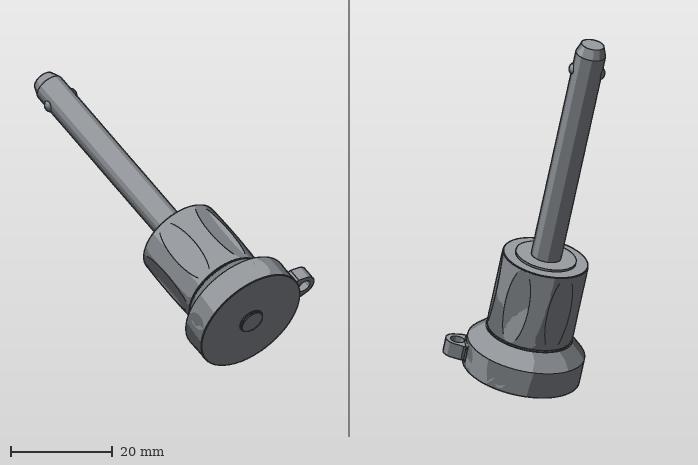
import cadquery as cq
import math


total_length = 73.2
tip_length = 2.05
ball_x = 5.85
collar_start = 47.0
sleeve_start = 47.4
sleeve_end = 63.75
cone_start = 64.05
rim_start = 67.1
rim_end = 72.6
button_step = 72.9

tip_radius = 2.3
pin_radius = 3.0
collar_radius = 6.1
sleeve_end_radius = 8.6
sleeve_mid_radius = 8.8
sleeve_edge = 0.15
neck_radius = sleeve_end_radius - sleeve_edge
rim_radius = 11.8
rim_edge = 0.15
cone_small_radius = rim_radius - (rim_start - cone_start)
button_radius = 2.6
button_face_radius = 2.4

ball_radius = 1.4
ball_offset = 2.2

flute_count = 6
flute_floor_radius = 8.1
flute_cutter_radius = 13.9
flute_cutter_end_radius = 13.5

dimple_count = 8
dimple_length = 4.3
dimple_depth = 0.15
cap_height = 1.5

tab_thickness = 3.0
tab_reach = 15.9
tab_tip_radius = 2.35
tab_hole_radius = 1.4
tab_flank_angle = math.radians(14.5)
tab_root_fillet = 0.3
tab_overlap = 1.5

sleeve_mid = (sleeve_start + sleeve_end) / 2
rim_mid = (rim_start + rim_end) / 2


def make_turned_body():
    """Pin, collar, barrel-shaped sleeve, flared rim and push button."""
    profile = (
        cq.Workplane("XZ")
        .lineTo(0, tip_radius)
        .lineTo(tip_length, pin_radius)
        .lineTo(collar_start, pin_radius)
        .lineTo(collar_start, collar_radius)
        .lineTo(sleeve_start, collar_radius)
        .lineTo(sleeve_start, sleeve_end_radius - sleeve_edge)
        .lineTo(sleeve_start + sleeve_edge, sleeve_end_radius)
        .threePointArc(
            (sleeve_mid, sleeve_mid_radius),
            (sleeve_end - sleeve_edge, sleeve_end_radius),
        )
        .lineTo(sleeve_end, neck_radius)
        .lineTo(cone_start, neck_radius)
        .lineTo(cone_start, cone_small_radius)
        .lineTo(rim_start, rim_radius)
        .lineTo(rim_end - rim_edge, rim_radius)
        .lineTo(rim_end, rim_radius - rim_edge)
        .lineTo(rim_end, button_radius)
        .lineTo(button_step, button_radius)
        .lineTo(button_step, button_face_radius)
        .lineTo(total_length, button_face_radius)
        .lineTo(total_length, 0)
        .close()
    )
    return profile.revolve(360, (0, 0, 0), (1, 0, 0))


def make_flute_cutter():
    """Spindle beside the sleeve on +Y; its bulge scoops one pointed flute."""
    axis_y = flute_floor_radius + flute_cutter_radius
    end_y = axis_y - flute_cutter_end_radius
    return (
        cq.Workplane("XY")
        .moveTo(sleeve_start, axis_y)
        .lineTo(sleeve_start, end_y)
        .threePointArc((sleeve_mid, flute_floor_radius), (sleeve_end, end_y))
        .lineTo(sleeve_end, axis_y)
        .close()
        .revolve(360, (sleeve_start, axis_y, 0), (sleeve_end, axis_y, 0))
    )


def make_dimple_cutter():
    """Large sphere that dips slightly into the rim on +Y."""
    radius = ((dimple_length / 2) ** 2 + dimple_depth**2) / (2 * dimple_depth)
    center_y = rim_radius - dimple_depth + radius
    cap = cq.Workplane("XY").box(dimple_length, cap_height, dimple_length)
    cap = cap.translate((rim_mid, rim_radius, 0))
    return cq.Workplane("XY").sphere(radius).translate((rim_mid, center_y, 0)).intersect(cap)


def cut_around(body, cutter, count, first_angle):
    """Cut evenly spaced copies of the cutter around the X axis."""
    for index in range(count):
        angle = first_angle + index * 360 / count
        body = body.cut(cutter.rotate((0, 0, 0), (1, 0, 0), angle))
    return body


def add_lanyard_tab(body):
    """Tapered tab with a round end on +Y, filleted into the rim and drilled."""
    center_y = tab_reach - tab_tip_radius
    tangent_y = center_y + tab_tip_radius * math.sin(tab_flank_angle)
    tangent_z = tab_tip_radius * math.cos(tab_flank_angle)
    root_y = rim_radius - tab_overlap
    root_z = tangent_z + (tangent_y - root_y) * math.tan(tab_flank_angle)
    tab_start = rim_mid - tab_thickness / 2
    tab_plane = cq.Workplane("YZ").workplane(offset=tab_start)
    tab = (
        tab_plane.moveTo(root_y, -root_z)
        .lineTo(tangent_y, -tangent_z)
        .threePointArc((tab_reach, 0), (tangent_y, tangent_z))
        .lineTo(root_y, root_z)
        .close()
        .extrude(tab_thickness)
    )
    body = body.union(tab)

    margin = 0.1
    root_arcs = cq.selectors.BoxSelector(
        (tab_start - margin, root_y, -margin),
        (tab_start + tab_thickness + margin, rim_radius + margin, margin),
    )
    body = body.edges(root_arcs).fillet(tab_root_fillet)

    hole = tab_plane.center(center_y, 0).circle(tab_hole_radius).extrude(tab_thickness)
    return body.cut(hole)


body = make_turned_body()
for side in (-1, 1):
    ball = cq.Workplane("XY").sphere(ball_radius).translate((ball_x, side * ball_offset, 0))
    body = body.union(ball)
body = cut_around(body, make_flute_cutter(), flute_count, 0)
body = add_lanyard_tab(body)
body = cut_around(body, make_dimple_cutter(), dimple_count, 180 / dimple_count)
result = body